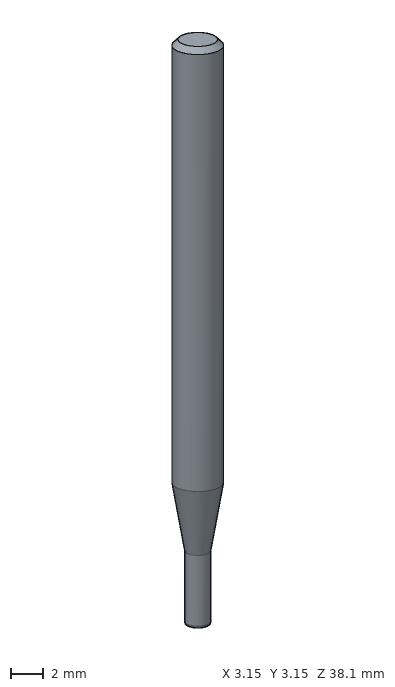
import cadquery as cq
import math

total_length = 38.1
shank_radius = 3.15 / 2
tip_radius = 1.6 / 2

tip_length = 4.8
taper_length = 4.45
shank_start = tip_length + taper_length

shank_chamfer = 0.4
tip_fillet = 0.2

fillet_inset = tip_fillet * (1 - math.sqrt(0.5))

profile = (
    cq.Workplane("XZ")
    .lineTo(tip_radius - tip_fillet, 0)
    .threePointArc((tip_radius - fillet_inset, fillet_inset), (tip_radius, tip_fillet))
    .lineTo(tip_radius, tip_length)
    .lineTo(shank_radius, shank_start)
    .lineTo(shank_radius, total_length - shank_chamfer)
    .lineTo(shank_radius - shank_chamfer, total_length)
    .lineTo(0, total_length)
    .close()
)
result = profile.revolve(360, (0, 0, 0), (0, 1, 0))